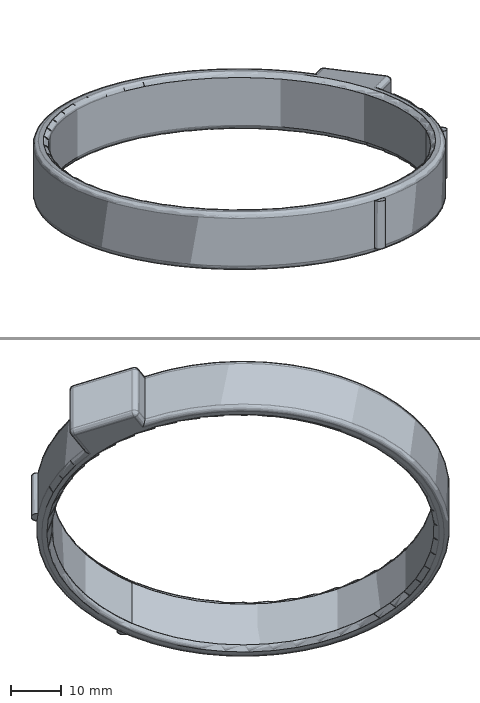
import cadquery as cq
import math

outer_diameter = 81.0
inner_diameter = 75.0
height = 12.0
outer_radius = outer_diameter / 2
inner_radius = inner_diameter / 2
wall = outer_radius - inner_radius
mid_radius = (outer_radius + inner_radius) / 2
edge_round = wall / 3
straight_height = height - 2 * edge_round

block_turn = 23.0
block_length = 15.0
block_start = 1.3
block_top = 44.1

rib_radius = 1.2
rib_angles = (-5.0, 55.0)

inlay_thickness = wall / 2


def make_ring():
    """Plain ring with all four circular edges rounded."""
    ring = cq.Workplane("XY").circle(outer_radius).circle(inner_radius).extrude(height)
    return ring.edges("%CIRCLE").fillet(edge_round)


def make_block():
    """Rounded block whose inner side follows the middle of the band wall."""
    block = (
        cq.Workplane("XY")
        .box(block_length, block_top, height, centered=False)
        .edges(">Y or (<X and (>Z or <Z)) or (>X and (>Z or <Z))")
        .fillet(edge_round)
        .translate((block_start, 0, 0))
    )
    wall_core = cq.Workplane("XY").circle(mid_radius).extrude(height)
    return block.rotate((0, 0, 0), (0, 0, 1), block_turn).cut(wall_core)


def make_rib(angle):
    """Upright rod centred on the outer surface, as tall as the straight part of the wall."""
    x = outer_radius * math.cos(math.radians(angle))
    y = outer_radius * math.sin(math.radians(angle))
    return cq.Workplane("XY", origin=(x, y, edge_round)).circle(rib_radius).extrude(straight_height)


def make_inlay():
    """Curved plate between the rib angles, as tall as the straight part of the wall."""
    start_angle, end_angle = rib_angles
    section = cq.Workplane("XZ").moveTo(inner_radius, edge_round).rect(
        inlay_thickness, straight_height, centered=False
    )
    plate = section.revolve(end_angle - start_angle, (0, 0, 0), (0, 1, 0))
    return plate.rotate((0, 0, 0), (0, 0, 1), start_angle)


def make_band(inlay):
    """Ring, block and ribs in one solid, with a recess for the inlay."""
    band = make_ring().union(make_block())
    for angle in rib_angles:
        band = band.union(make_rib(angle))
    return band.cut(inlay).solids()


inlay = make_inlay()
band = make_band(inlay)

result = cq.Compound.makeCompound([band.val(), inlay.val()])